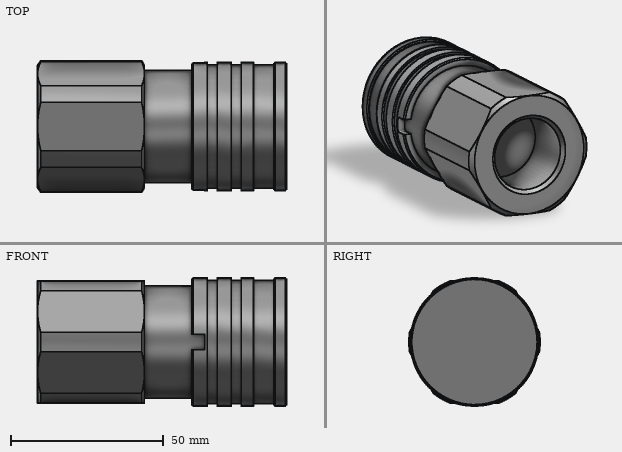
import cadquery as cq


overall_length = 81.6
hex_length = 35.05
hex_across_flats = 40.0
hex_corner_radius = 21.5
flats_up_angle = 90.0
front_chamfer_length = 1.1
front_face_radius = 19.9
rear_chamfer_length = 0.9
rear_face_radius = 20.0

neck_radius = 18.45

sleeve_start = 50.6
sleeve_core_radius = 20.3
band_radius = 21.0
edge_chamfer = 0.5
small_chamfer = 0.25
bands = [
    (sleeve_start, 55.6, edge_chamfer, 0),
    (58.9, 63.4, 0, 0),
    (66.7, 70.9, 0, small_chamfer),
    (77.4, overall_length, edge_chamfer, edge_chamfer),
]

slot_width = 5.0
slot_length = 4.25
slot_corner_radius = 0.4

bore_radius = 12.0
bore_mouth_radius = 13.25
bore_mouth_depth = bore_mouth_radius - bore_radius
bore_depth = 20.0


def cylinder(start, end, radius):
    """Solid cylinder along X."""
    return cq.Workplane("YZ", origin=(start, 0, 0)).circle(radius).extrude(end - start)


def revolve_about_x(points):
    """Solid of revolution about X from (x, radius) points, closed along the axis."""
    first_x = points[0][0]
    last_x = points[-1][0]
    outline = [(first_x, 0)] + points + [(last_x, 0)]
    return cq.Workplane("XY").polyline(outline).close().revolve(360, (0, 0, 0), (1, 0, 0))


def make_hex_body():
    """Hexagon with flats facing +Z and -Z, trimmed by a turned, chamfered envelope."""
    prism = cq.Workplane("YZ").polygon(6, hex_across_flats, circumscribed=True).extrude(hex_length)
    prism = prism.rotate((0, 0, 0), (1, 0, 0), flats_up_angle)
    envelope = revolve_about_x([
        (0, front_face_radius),
        (front_chamfer_length, hex_corner_radius),
        (hex_length - rear_chamfer_length, hex_corner_radius),
        (hex_length, rear_face_radius),
    ])
    return prism.intersect(envelope)


def make_band(start, end, start_chamfer, end_chamfer):
    """Raised ring on the sleeve, with an optional chamfer at either edge."""
    band = cylinder(start, end, band_radius)
    if start_chamfer:
        band = band.faces("<X").chamfer(start_chamfer)
    if end_chamfer:
        band = band.faces(">X").chamfer(end_chamfer)
    return band


def make_sleeve():
    """Sleeve core that stops inside the last band, plus its raised bands."""
    last_band_start = bands[-1][0]
    sleeve = cylinder(sleeve_start + edge_chamfer, last_band_start + edge_chamfer, sleeve_core_radius)
    for band in bands:
        sleeve = sleeve.union(make_band(*band))
    return sleeve


def make_slots():
    """Cutter for both rim slots; it leaves the neck cylinder as the slot floor."""
    bar = (
        cq.Workplane("XY")
        .box(slot_length, 2 * band_radius, slot_width)
        .edges(">X and |Y")
        .fillet(slot_corner_radius)
        .translate((sleeve_start + slot_length / 2, 0, 0))
    )
    return bar.cut(cylinder(sleeve_start, sleeve_start + slot_length, neck_radius))


def make_bore():
    """Blind bore with a 45 degree countersunk mouth."""
    return revolve_about_x([
        (0, bore_mouth_radius),
        (bore_mouth_depth, bore_radius),
        (bore_depth, bore_radius),
    ])


neck = cylinder(hex_length, sleeve_start, neck_radius)
sleeve = make_sleeve().cut(make_slots())
result = make_hex_body().union(neck).union(sleeve).cut(make_bore())